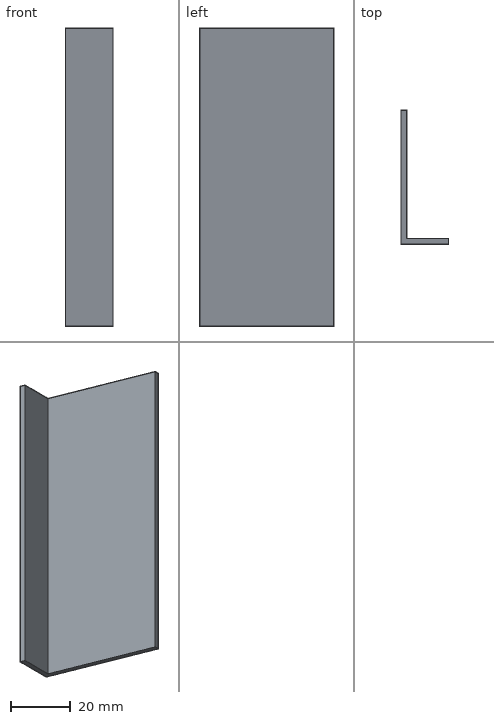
import cadquery as cq

length = 100.0
short_leg = 16.0
long_leg = 45.0
thickness = 2.0

result = (
    cq.Workplane("XY")
    .polyline([
        (0, 0),
        (short_leg, 0),
        (short_leg, thickness),
        (thickness, thickness),
        (thickness, long_leg),
        (0, long_leg),
    ])
    .close()
    .extrude(length)
)